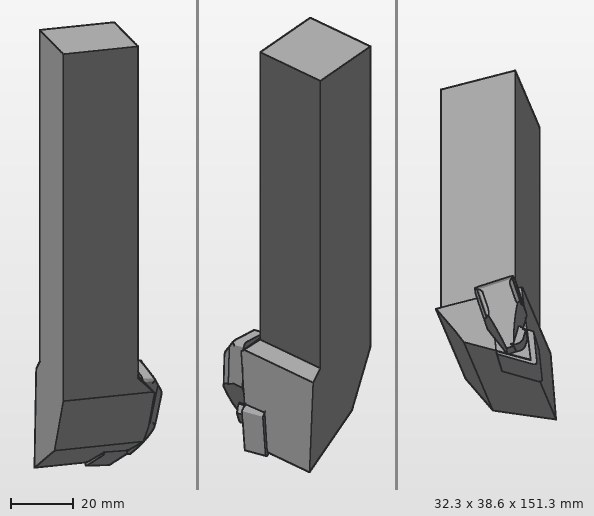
import cadquery as cq
import math

total_length = 151.4
shank_size = 25.0

head_depth = 30.5
left_bevel = 3.6
bevel_top_z = 39.7
corner_x = -5.5
corner_z = 2.1
heel_x = 15.7
heel_z = 14.8
relief_top_z = 34.5

tip_x = -7.4
tip_y = 25.1
tip_z = -0.6
seat_slope_x = 0.11
seat_slope_z = 0.11
face_rise = 0.3

insert_edge = 15.5
insert_thickness = 8.0
insert_angle = 55.0
lead_angle = 3.0
nose_radius = 0.8

clamp_width = 13.3
clamp_height = 8.6
clamp_length = 29.5
clamp_lean = 12.0
clamp_back_x = 12.4
clamp_back_z = 36.3
wall_height = 3.5
shoulder_height = 5.9
shoulder_inset = 0.8
crown_inset = 2.1
crown_bulge = 0.5
back_wall_height = 4.0
back_slope_length = 4.5
back_slope_height = 7.3
brow_end = 7.9
brow_bulge = 0.3
nose_start = 15.9
nose_height = 2.7
nose_bulge = 1.2
back_corner_radius = 1.8
flank_start = 14.5
flank_angle = 14.0
right_taper = 14.0
flank_draft = 5.0
flank_size = 45.4

finger_height = 3.6
finger_radius = 2.7
finger_x = 6.2
finger_z = 10.1
finger_length = 3.2
finger_shoulder = 2.1

seat = cq.Plane(
    origin=(tip_x, tip_y, tip_z),
    xDir=(1, seat_slope_x, 0),
    normal=(seat_slope_x, -1, seat_slope_z),
)
seat_face = cq.Plane(
    origin=(tip_x, tip_y + face_rise, tip_z),
    xDir=seat.xDir.toTuple(),
    normal=seat.zDir.toTuple(),
)


def make_insert():
    lead = math.radians(90 - lead_angle)
    trail = math.radians(90 - lead_angle - insert_angle)
    along_lead = (insert_edge * math.cos(lead), insert_edge * math.sin(lead))
    along_trail = (insert_edge * math.cos(trail), insert_edge * math.sin(trail))
    far_corner = (along_lead[0] + along_trail[0], along_lead[1] + along_trail[1])
    blank = (
        cq.Workplane(seat)
        .polyline([(0, 0), along_trail, far_corner, along_lead])
        .close()
        .extrude(insert_thickness)
    )
    return blank.edges(cq.selectors.ParallelDirSelector(seat.zDir)).fillet(nose_radius)


def make_clamp():
    back = seat_face.toWorldCoords((clamp_back_x, clamp_back_z, 0))
    lean = math.radians(clamp_lean)
    axis = seat.yDir * -math.cos(lean) + seat.xDir * -math.sin(lean)
    up = seat.zDir * -1
    leftward = up.cross(axis)
    half = clamp_width / 2

    section_plane = cq.Plane(origin=back.toTuple(), xDir=leftward.toTuple(), normal=axis.toTuple())
    shoulder = half - shoulder_inset
    crown = half - crown_inset
    bar = (
        cq.Workplane(section_plane)
        .moveTo(-half, 0)
        .lineTo(-half, wall_height)
        .lineTo(-shoulder, shoulder_height)
        .sagittaArc((-crown, clamp_height), crown_bulge)
        .lineTo(crown, clamp_height)
        .sagittaArc((shoulder, shoulder_height), crown_bulge)
        .lineTo(half, wall_height)
        .lineTo(half, 0)
        .close()
        .extrude(clamp_length)
    )

    side_plane = cq.Plane(origin=back.toTuple(), xDir=axis.toTuple(), normal=(leftward * -1).toTuple())
    profile = (
        cq.Workplane(side_plane)
        .lineTo(0, back_wall_height)
        .lineTo(back_slope_length, back_slope_height)
        .sagittaArc((brow_end, clamp_height), brow_bulge)
        .lineTo(nose_start, clamp_height)
        .sagittaArc((clamp_length, nose_height), nose_bulge)
        .lineTo(clamp_length, 0)
        .close()
        .extrude(half, both=True)
        .edges(cq.selectors.ParallelDirSelector(up))
        .edges(cq.selectors.DirectionMinMaxSelector(axis, False))
        .fillet(back_corner_radius)
    )
    body = bar.intersect(profile)

    draft = math.radians(flank_draft)
    for side, taper_angle in ((1, flank_angle + clamp_lean), (-1, right_taper)):
        taper = math.radians(taper_angle)
        level = leftward * (side * math.cos(taper)) + axis * math.sin(taper)
        outward = level * math.cos(draft) + up * math.sin(draft)
        start = back + axis * flank_start + leftward * (side * half) + up * wall_height
        flank_plane = cq.Plane(
            origin=start.toTuple(),
            xDir=up.cross(outward).toTuple(),
            normal=outward.toTuple(),
        )
        body = body.cut(cq.Workplane(flank_plane).rect(flank_size, flank_size).extrude(flank_size))
    return body.union(make_finger())


def make_finger():
    centre = seat.toWorldCoords((finger_x, finger_z, 0))
    finger_plane = cq.Plane(
        origin=centre.toTuple(),
        xDir=seat.xDir.toTuple(),
        normal=seat.zDir.toTuple(),
    ).rotated((0, 0, flank_angle))
    return (
        cq.Workplane(finger_plane)
        .moveTo(-finger_radius, 0)
        .lineTo(-finger_radius, finger_length)
        .lineTo(finger_shoulder - finger_radius, finger_length + finger_shoulder)
        .lineTo(finger_radius, finger_length + finger_shoulder)
        .lineTo(finger_radius, 0)
        .threePointArc((0, -finger_radius), (-finger_radius, 0))
        .close()
        .extrude(-finger_height)
    )


def make_holder():
    outline = [
        (0, total_length),
        (0, bevel_top_z),
        (-left_bevel, bevel_top_z - left_bevel),
        (corner_x, corner_z),
        (heel_x, heel_z),
        (shank_size, relief_top_z),
        (shank_size, total_length),
    ]
    front_bevel = head_depth - shank_size
    side = [
        (0, 0),
        (head_depth, 0),
        (head_depth, bevel_top_z - front_bevel),
        (shank_size, bevel_top_z),
        (shank_size, total_length),
        (0, total_length),
    ]
    block = cq.Workplane("XZ").polyline(outline).close().extrude(-head_depth)
    depth_limit = cq.Workplane("YZ").polyline(side).close().extrude(2 * shank_size, both=True)
    above_seat = cq.Workplane(seat_face).rect(2 * total_length, 2 * bevel_top_z).extrude(-head_depth)
    return block.intersect(depth_limit).cut(above_seat)


insert = make_insert()
holder = make_holder().union(make_clamp()).cut(insert)

result = cq.Compound.makeCompound([holder.val(), insert.val()])